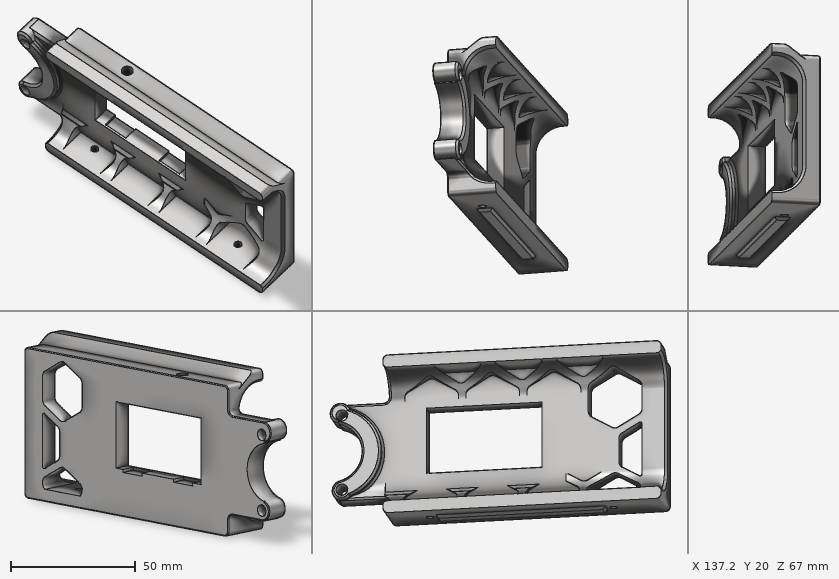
import cadquery as cq
import math

LENGTH = 137.2
BODY_LEFT = 23.6
DEPTH = 20.0
HEIGHT = 65.8
STEP_HEIGHT = 61.7
SLOPE_BACK = 9.0
SLOPE_FRONT = 14.7
PLATE = 7.1
LIP = 5.1
CAVITY_RADIUS = 11.0
CORNER_RADIUS = 2.0
BACK_CHAMFER = 0.4
RIM_CHAMFER = 1.1

GAP = 0.1

CLAMP_X = 1.6
CLAMP_Z = 29.0
BORE_X, BORE_Z = 0.8, 29.2
BORE_RADIUS = 12.2
RING_LEFT = 3.5
CLAMP_OUTER = 19.2
CLAMP_DEPTH = 10.3
CLAMP_CHAMFER = 1.0
FOOT_FLARE = 1.0
SCREW_DIAMETER = 4.7
SCREW_X = 5.0
SCREW_SPREAD = 15.5
TAB_RADIUS = 4.1
UPPER_TAB_X, UPPER_TAB_Z = 4.1, 45.7
NECK_RADIUS = 2.6
UPPER_SCREW_Z = CLAMP_Z + SCREW_SPREAD
LOWER_SCREW_Z = CLAMP_Z - SCREW_SPREAD
ARM_TOP = UPPER_TAB_Z + TAB_RADIUS
ARM_BOTTOM = LOWER_SCREW_Z - TAB_RADIUS

HEX_SIDES = 6
HEX_WIDTH = 22.0
HEX_RADIUS = 2.7
HEX_COLUMNS = 4
HEX_PITCH = 25.0
HEX_ROW_PITCH = HEX_PITCH * math.sqrt(3) / 2
LAST_HEX_X = 115.9
LOW_ROW_Z = 3.2
LOW_HEX_FLOOR = 4.7
HALF_HEX_RIGHT = 126.9
HALF_HEX_RADIUS = 0.7

WINDOW_LEFT, WINDOW_RIGHT = 38.8, 86.0
WINDOW_BOTTOM, WINDOW_TOP = 19.3, 46.5
POCKET_LEFT, POCKET_RIGHT = 22.1, 95.9
POCKET_BOTTOM = 12.3
POCKET_SLOPE_RUN = 1.1
POCKET_SLOPE_DROP = 1.6
NOTCH_CENTERS = (48.7, 76.8)
NOTCH_WIDTH = 10.7
NOTCH_DEPTH = 6.2
NOTCH_DROP = 1.2

TOP_HOLE_DIAMETER = 4.7
TOP_HOLE_DEPTH = 8.2
TOP_HOLE_X, TOP_HOLE_Y = 53.4, -4.5
LIP_HOLE_DIAMETER = 3.2
LIP_HOLE_Y = -DEPTH / 2
PAD_LEFT, PAD_RIGHT = 43.9, 112.9
PAD_WIDTH = 6.5
PAD_HEIGHT = 1.2
PAD_INSET = 1.0


def box(x0, x1, y0, y1, z0, z1):
    """Box given by its limits along each axis."""
    return cq.Workplane("XY").box(x1 - x0, y1 - y0, z1 - z0, centered=False).translate((x0, y0, z0))


def cylinder_y(x, z, radius, depth):
    """Cylinder from the back face forward to the given depth."""
    return cq.Workplane("XZ").center(x, z).circle(radius).extrude(depth)


def make_cavity():
    """Channel between the lips, with a large round along each inner corner."""
    channel = box(0, LENGTH, -2 * DEPTH, -PLATE, LIP, HEIGHT - LIP)
    return channel.edges("|X and >Y").fillet(CAVITY_RADIUS)


def rounded_block(z_top, depth):
    """Body outline up to the given height, rounded at its four corners."""
    return box(BODY_LEFT, LENGTH, -depth, 0, 0, z_top).edges("|Y").fillet(CORNER_RADIUS)


def make_body():
    """Stepped body with its sloped top, the arm, the cavity and the clamp bore."""
    slope_run = SLOPE_FRONT - SLOPE_BACK
    slope_rise = HEIGHT - STEP_HEIGHT
    below_slope = (
        cq.Workplane("YZ")
        .polyline(
            [
                (-DEPTH, 0),
                (-DEPTH, HEIGHT),
                (-SLOPE_FRONT, HEIGHT),
                (-SLOPE_BACK + slope_run, STEP_HEIGHT - slope_rise),
                (-SLOPE_BACK + slope_run, 0),
            ]
        )
        .close()
        .extrude(LENGTH)
    )
    lip_block = rounded_block(HEIGHT, DEPTH).intersect(below_slope)
    body = rounded_block(STEP_HEIGHT, SLOPE_BACK).union(lip_block)
    arm = box(RING_LEFT, BODY_LEFT + NECK_RADIUS, -DEPTH, 0, ARM_BOTTOM, ARM_TOP)
    body = body.union(arm)
    for neck_z in (ARM_TOP, ARM_BOTTOM):
        corner = cq.selectors.BoxSelector(
            (BODY_LEFT - GAP, -DEPTH, neck_z - GAP), (BODY_LEFT + GAP, 0, neck_z + GAP)
        )
        body = body.edges("|Y").edges(corner).fillet(NECK_RADIUS)
    body = chamfer_outline(body.cut(make_cavity()))
    return body.cut(cylinder_y(BORE_X, BORE_Z, BORE_RADIUS, DEPTH))


def chamfer_outline(body):
    """Chamfer the cavity rim at both ends and along the arm, and the outline of the back face."""
    left_rim = cq.selectors.BoxSelector(
        (RING_LEFT + GAP, GAP - DEPTH, LIP - GAP), (BODY_LEFT + GAP, -PLATE + GAP, HEIGHT - LIP + GAP)
    )
    right_rim = cq.selectors.BoxSelector(
        (LENGTH - GAP, GAP - DEPTH, LIP - GAP), (LENGTH + GAP, -PLATE + GAP, HEIGHT - LIP + GAP)
    )
    body = body.edges(left_rim).edges("not |Y").chamfer(RIM_CHAMFER)
    body = body.edges(right_rim).edges("not |Y").chamfer(RIM_CHAMFER)
    return body.faces(">Y").edges().chamfer(BACK_CHAMFER)


def chamfered_post(x, z, radius):
    """Round post of the clamp depth, chamfered at its front and back."""
    post = cylinder_y(x, z, radius, CLAMP_DEPTH)
    return post.faces("<Y").chamfer(CLAMP_CHAMFER).faces(">Y").chamfer(BACK_CHAMFER)


def clamp_boss():
    """Half-ring around the clamp centre, flared where it meets the plate, with a tab at each end."""
    foot = (
        cq.Workplane("XZ", origin=(CLAMP_X, 0, CLAMP_Z))
        .circle(CLAMP_OUTER + FOOT_FLARE)
        .extrude(PLATE + FOOT_FLARE)
        .faces("<Y")
        .chamfer(FOOT_FLARE)
        .intersect(box(RING_LEFT, LENGTH, -DEPTH, -BACK_CHAMFER, ARM_BOTTOM, ARM_TOP - RIM_CHAMFER))
    )
    ring = (
        chamfered_post(CLAMP_X, CLAMP_Z, CLAMP_OUTER)
        .intersect(box(RING_LEFT, LENGTH, -DEPTH, 0, ARM_BOTTOM, ARM_TOP))
        .union(foot)
        .cut(cylinder_y(BORE_X, BORE_Z, BORE_RADIUS, CLAMP_DEPTH))
    )
    bore_mouth = cq.selectors.RadiusNthSelector(0)
    ring = ring.faces("<Y").edges("%CIRCLE").edges(bore_mouth).chamfer(CLAMP_CHAMFER)
    return (
        ring
        .union(chamfered_post(UPPER_TAB_X, UPPER_TAB_Z, TAB_RADIUS))
        .union(chamfered_post(SCREW_X, LOWER_SCREW_Z, TAB_RADIUS))
    )


def hexagon(x, z):
    """Hexagonal prism, point up, through the full depth; clipped near the lower lip and on the right."""
    prism = (
        cq.Workplane("XZ")
        .center(x, z)
        .transformed(rotate=(0, 0, 90))
        .polygon(HEX_SIDES, HEX_WIDTH / math.cos(math.pi / HEX_SIDES))
        .extrude(DEPTH)
    )
    return prism.intersect(box(0, HALF_HEX_RIGHT, -DEPTH, 0, LOW_HEX_FLOOR, 2 * HEIGHT))


def hexagon_pocket(x, z, back_y):
    """Rounded hexagon limited to the space between the lips, in front of the given depth."""
    return hexagon(x, z).edges("|Y").fillet(HEX_RADIUS).intersect(cavity_slab(back_y))


def cavity_slab(back_y):
    """Space between the two lips, in front of the given depth."""
    return box(0, LENGTH, -DEPTH, back_y, LIP, HEIGHT - LIP)


def cut_honeycomb(body):
    """Hexagons clear the cavity rounds down to the plate; those in the last column pass through it."""
    upper_row_z = LOW_ROW_Z + 2 * HEX_ROW_PITCH
    middle_row_z = LOW_ROW_Z + HEX_ROW_PITCH
    top_row_z = LOW_ROW_Z + 3 * HEX_ROW_PITCH
    for column in range(HEX_COLUMNS):
        x = LAST_HEX_X - column * HEX_PITCH
        back_y = 0 if column == 0 else -PLATE
        for z in (LOW_ROW_Z, upper_row_z):
            body = body.cut(hexagon_pocket(x, z, back_y))
    for column in range(HEX_COLUMNS - 1):
        x = LAST_HEX_X - (column + 0.5) * HEX_PITCH
        for z in (middle_row_z, top_row_z):
            body = body.cut(hexagon_pocket(x, z, -PLATE))
    half_hex = hexagon(LAST_HEX_X + HEX_PITCH / 2, middle_row_z)
    clipped_corners = cq.selectors.BoxSelector(
        (HALF_HEX_RIGHT - GAP, -DEPTH, 0), (HALF_HEX_RIGHT + GAP, 0, HEIGHT)
    )
    left_corners = cq.selectors.BoxSelector(
        (HALF_HEX_RIGHT - HEX_WIDTH, -DEPTH, 0), (HALF_HEX_RIGHT - GAP, 0, HEIGHT)
    )
    half_hex = half_hex.edges("|Y").edges(left_corners).fillet(HEX_RADIUS)
    half_hex = half_hex.edges("|Y").edges(clipped_corners).fillet(HALF_HEX_RADIUS)
    return body.cut(half_hex)


def cut_window(body):
    """Window through the plate, notches in its sill, and the relief of the lower cavity round below it."""
    pocket_top = HEIGHT - LIP - CAVITY_RADIUS
    slope_front = -PLATE - POCKET_SLOPE_RUN
    slope_foot = POCKET_BOTTOM - POCKET_SLOPE_DROP
    pocket = (
        cq.Workplane("YZ")
        .polyline(
            [
                (-PLATE, POCKET_BOTTOM),
                (slope_front, slope_foot),
                (-DEPTH, slope_foot),
                (-DEPTH, pocket_top),
                (-PLATE, pocket_top),
            ]
        )
        .close()
        .extrude(POCKET_RIGHT - POCKET_LEFT)
        .translate((POCKET_LEFT, 0, 0))
        .intersect(cavity_slab(-PLATE))
    )
    body = body.cut(pocket)
    body = body.cut(box(WINDOW_LEFT, WINDOW_RIGHT, -PLATE, 0, WINDOW_BOTTOM, WINDOW_TOP))
    for x in NOTCH_CENTERS:
        half = NOTCH_WIDTH / 2
        notch = box(x - half, x + half, -NOTCH_DEPTH, 0, WINDOW_BOTTOM - NOTCH_DROP, WINDOW_BOTTOM)
        body = body.cut(notch)
    return body


def add_pad(body):
    """Tapered pad on the underside of the body."""
    taper = PAD_INSET * 2
    pad = (
        cq.Workplane("XY")
        .center((PAD_LEFT + PAD_RIGHT) / 2, LIP_HOLE_Y)
        .rect(PAD_RIGHT - PAD_LEFT, PAD_WIDTH)
        .workplane(offset=-PAD_HEIGHT)
        .rect(PAD_RIGHT - PAD_LEFT - taper, PAD_WIDTH - taper)
        .loft(ruled=True)
    )
    return body.union(pad)


def drill(body):
    """Clamp screw holes, blind hole in the top and holes through the lower lip."""
    for z in (LOWER_SCREW_Z, UPPER_SCREW_Z):
        body = body.cut(cylinder_y(SCREW_X, z, SCREW_DIAMETER / 2, CLAMP_DEPTH))
    top_hole = (
        cq.Workplane("XY")
        .workplane(offset=STEP_HEIGHT)
        .center(TOP_HOLE_X, TOP_HOLE_Y)
        .circle(TOP_HOLE_DIAMETER / 2)
        .extrude(-TOP_HOLE_DEPTH)
    )
    body = body.cut(top_hole)
    for x in (LAST_HEX_X, LAST_HEX_X - (HEX_COLUMNS - 1) * HEX_PITCH):
        hole = cq.Workplane("XY").center(x, LIP_HOLE_Y).circle(LIP_HOLE_DIAMETER / 2).extrude(LIP)
        body = body.cut(hole)
    return body


body = make_body().union(clamp_boss())
body = cut_honeycomb(body)
body = cut_window(body)
body = add_pad(body)
result = drill(body)